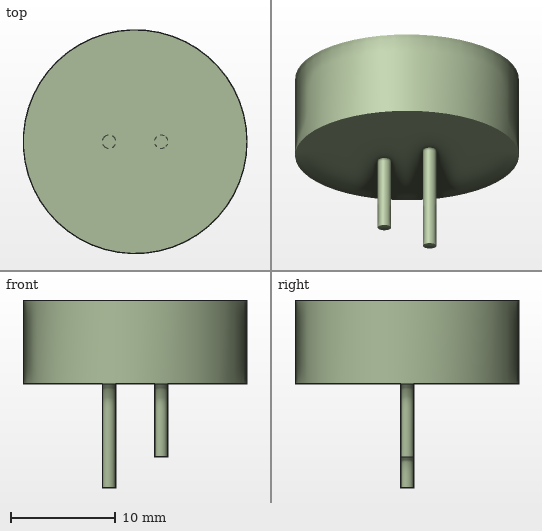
import cadquery as cq

housing_diameter = 21.5
housing_height = 8.0
pin_diameter = 1.3
pin_spacing = 5.0
long_pin_length = 10.0
short_pin_length = 7.0


def make_housing():
    """Plain cylindrical housing standing on the XY plane."""
    return cq.Workplane("XY").circle(housing_diameter / 2).extrude(housing_height)


def make_pin(x, length):
    """Round lead hanging down from the underside of the housing."""
    return cq.Workplane("XY").center(x, 0).circle(pin_diameter / 2).extrude(-length)


housing = make_housing()

pins = []
for side, length in ((-1, long_pin_length), (1, short_pin_length)):
    pins.append(make_pin(side * pin_spacing / 2, length).val())

result = cq.Compound.makeCompound([housing.val(), *pins])